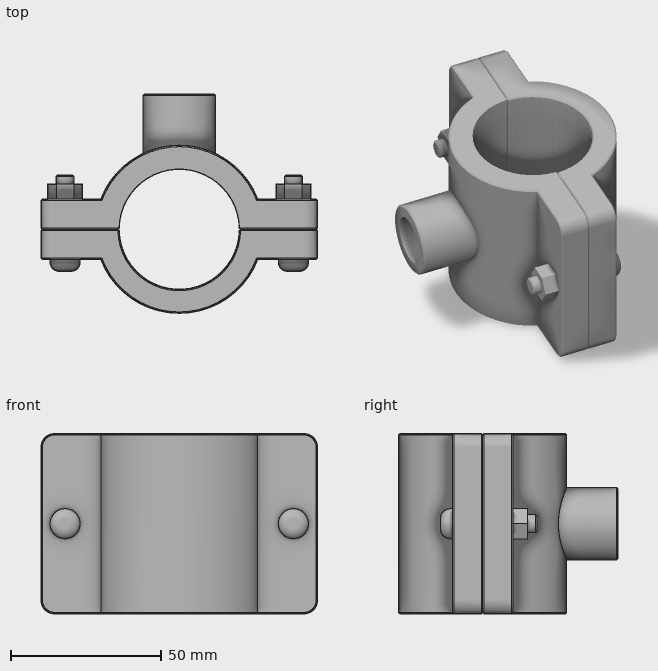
import cadquery as cq
import math

LENGTH = 92
HEIGHT = 60.0
BODY_RADIUS = 28.0
BORE_RADIUS = 20.0
FLANGE_THICKNESS = 10.0
CORNER_RADIUS = 4.5
EDGE_CHAMFER = 0.5

STUB_DIAMETER = 24.2
STUB_END_Y = 45.0
STUB_BORE_DIAMETER = 16.0

BOLT_SPACING = 76.0
BOLT_DIAMETER = 6.0
BOLT_PROJECTION = 8.0
HEAD_DIAMETER = 10.0
HEAD_HEIGHT = 4.0
HEAD_ROUNDING = 3.0
NUT_ACROSS_FLATS = 10.0
NUT_THICKNESS = 5.0

TOLERANCE = 0.01


def rear_half_blank():
    """Half ring with a flange on each side, its split face on the XZ plane."""
    tip_x = LENGTH / 2
    corner_x = math.sqrt(BODY_RADIUS**2 - FLANGE_THICKNESS**2)
    blank = (
        cq.Workplane("XY")
        .workplane(offset=-HEIGHT / 2)
        .moveTo(BORE_RADIUS, 0)
        .lineTo(tip_x, 0)
        .lineTo(tip_x, FLANGE_THICKNESS)
        .lineTo(corner_x, FLANGE_THICKNESS)
        .threePointArc((0, BODY_RADIUS), (-corner_x, FLANGE_THICKNESS))
        .lineTo(-tip_x, FLANGE_THICKNESS)
        .lineTo(-tip_x, 0)
        .lineTo(-BORE_RADIUS, 0)
        .threePointArc((0, BORE_RADIUS), (BORE_RADIUS, 0))
        .close()
        .extrude(HEIGHT)
    )
    return blank.faces("<X or >X").edges("|Y").fillet(CORNER_RADIUS)


def is_softened(edge, soften_bore):
    """Tell whether an edge of the rear half blank carries the edge chamfer."""
    box = edge.BoundingBox()
    on_split_face = box.ymax < TOLERANCE
    on_flange_face = abs(box.ymin - FLANGE_THICKNESS) < TOLERANCE and box.ylen < TOLERANCE
    on_flange_root = on_flange_face and box.zlen > HEIGHT - TOLERANCE
    is_end_arc = edge.geomType() == "CIRCLE" and box.zlen < TOLERANCE
    is_bore_arc = is_end_arc and box.ymax < BORE_RADIUS + TOLERANCE
    if is_bore_arc:
        return soften_bore
    return on_split_face or is_end_arc or (on_flange_face and not on_flange_root)


def rear_half(soften_bore):
    blank = rear_half_blank()
    softened = [edge for edge in blank.edges().vals() if is_softened(edge, soften_bore)]
    return blank.newObject(softened).chamfer(EDGE_CHAMFER)


def front_half():
    return rear_half(soften_bore=True).rotate((0, 0, 0), (0, 0, 1), 180)


def stub():
    """Cylinder along +Y, seated in the ring wall."""
    seat_y = (BORE_RADIUS + BODY_RADIUS) / 2
    return (
        cq.Workplane("XZ", origin=(0, seat_y, 0))
        .circle(STUB_DIAMETER / 2)
        .extrude(seat_y - STUB_END_Y)
        .faces(">Y")
        .chamfer(EDGE_CHAMFER)
    )


def stub_bore():
    """Straight passage from the clamp bore out through the end of the stub."""
    return cq.Workplane("XZ").circle(STUB_BORE_DIAMETER / 2).extrude(-STUB_END_Y)


def bolt(x):
    """Domed head in front, shank through both flanges, hexagonal nut behind."""
    head = (
        cq.Workplane("XZ", origin=(x, -FLANGE_THICKNESS, 0))
        .circle(HEAD_DIAMETER / 2)
        .extrude(HEAD_HEIGHT)
        .faces("<Y")
        .edges()
        .fillet(HEAD_ROUNDING)
    )
    shank = (
        cq.Workplane("XZ", origin=(x, -FLANGE_THICKNESS, 0))
        .circle(BOLT_DIAMETER / 2)
        .extrude(-2 * FLANGE_THICKNESS - BOLT_PROJECTION)
        .faces(">Y")
        .chamfer(EDGE_CHAMFER)
    )
    across_corners = NUT_ACROSS_FLATS / math.cos(math.pi / 6)
    nut = (
        cq.Workplane("XZ", origin=(x, FLANGE_THICKNESS, 0))
        .polygon(6, across_corners)
        .extrude(-NUT_THICKNESS)
    )
    return head.union(shank).union(nut)


result = rear_half(soften_bore=False).union(front_half()).union(stub()).cut(stub_bore())
for bolt_x in (-BOLT_SPACING / 2, BOLT_SPACING / 2):
    result = result.union(bolt(bolt_x))